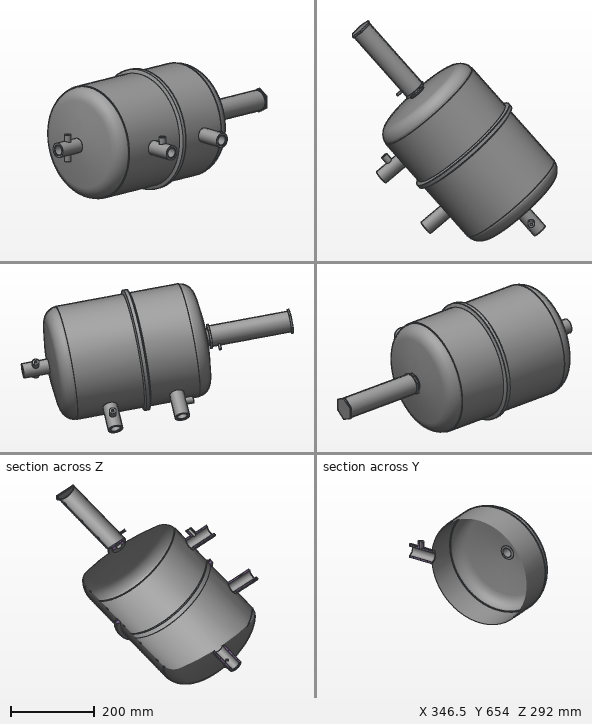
import cadquery as cq
import math


shell_radius = 137.0
wall = 2.0
front_shell_y = 105.0
joint_y = 279.0
rear_shell_y = 403.5

head_radius = 136.0
lip = 5.0
crown_radius = 108.0
knuckle_height = 27.0
knuckle_radius = 34.5
crown_rise = 10.5

flange_radius = 292.0 / 2
flange_front_y = 267.5
flange_rear_y = 284.0
flank_width = 3.0

pipe_radius = 17.5
pipe_bore_radius = 12.0
pipe_mouth_chamfer = 1.0
overall_width = 346.5
side_pipe_end_x = overall_width - flange_radius
front_pipe_y = 184.0
rear_pipe_y = 346.5
stub_radius = 16.5 / 2
stub_bore_radius = 3.0
stub_reach = 33.0
rear_stub_reach = 35.0
outlet_stub_y = 31.5
front_stub_x = 168.0
rear_stub_x = 160.0

neck_boss_radius = 20.0
neck_boss_y = 447.0
neck_bore_radius = 7.0

unit_start_y = 452.5
unit_end_y = 654.0
cap_sides = 6
cap_thickness = 4.5
tube_radius = 50.5 / 2
tube_wall = wall
port_y = 473.0
port_radius = 2.95
port_end_x = 40.0


def cylinder(start, direction, length, radius):
    return cq.Workplane(cq.Solid.makeCylinder(radius, length, cq.Vector(*start), cq.Vector(*direction)))


def pipe_along_y(start_y, end_y, radius):
    return cylinder((0, start_y, 0), (0, 1, 0), end_y - start_y, radius)


def vessel_solid(shell_y, inset):
    """Solid from the joint to a domed head; an inset equal to the wall gives the cavity."""
    outward = math.copysign(1, shell_y - joint_y)
    lip_y = shell_y + outward * lip
    crown_y = lip_y + outward * (knuckle_height - inset)
    apex_y = crown_y + outward * crown_rise
    sphere_radius = (crown_radius**2 + crown_rise**2) / (2 * crown_rise)
    middle_radius = crown_radius / 2
    middle_drop = sphere_radius - math.sqrt(sphere_radius**2 - middle_radius**2)
    return (
        cq.Workplane("YZ")
        .moveTo(joint_y, 0)
        .lineTo(joint_y, shell_radius - inset)
        .lineTo(shell_y, shell_radius - inset)
        .lineTo(shell_y, head_radius - inset)
        .lineTo(lip_y, head_radius - inset)
        .radiusArc((crown_y, crown_radius), outward * (knuckle_radius - inset))
        .threePointArc((apex_y - outward * middle_drop, middle_radius), (apex_y, 0))
        .close()
        .revolve(360, (0, 0, 0), (1, 0, 0))
    )


def flange(base_y, rim_y):
    """Half of the clamping flange, from the joint to the foot of its conical flank."""
    profile = [
        (joint_y, 0),
        (joint_y, flange_radius),
        (rim_y, flange_radius),
        (base_y, shell_radius),
        (base_y, 0),
    ]
    return (
        cq.Workplane("YZ")
        .polyline(profile)
        .close()
        .revolve(360, (0, 0, 0), (1, 0, 0))
    )


def side_pipe(y):
    return cylinder((0, y, 0), (1, 0, 0), side_pipe_end_x, pipe_radius)


def pipe_bore(mouth, inward, length):
    """Cutter for a pipe bore with a chamfered mouth."""
    bore = cylinder(mouth, inward, length, pipe_bore_radius)
    chamfer = cq.Solid.makeCone(
        pipe_bore_radius + pipe_mouth_chamfer,
        pipe_bore_radius,
        pipe_mouth_chamfer,
        cq.Vector(*mouth),
        cq.Vector(*inward),
    )
    return bore.union(cq.Workplane(chamfer))


def side_pipe_bore(y):
    return pipe_bore((side_pipe_end_x, y, 0), (-1, 0, 0), side_pipe_end_x)


def make_front_vessel():
    outside = (
        vessel_solid(front_shell_y, 0)
        .union(flange(flange_front_y, flange_front_y + flank_width))
        .union(pipe_along_y(0, front_shell_y, pipe_radius))
        .union(side_pipe(front_pipe_y))
        .union(cylinder((0, outlet_stub_y, -stub_reach), (0, 0, 1), 2 * stub_reach, stub_radius))
        .union(cylinder((front_stub_x, front_pipe_y, 0), (0, 0, 1), stub_reach, stub_radius))
    )
    return (
        outside.cut(vessel_solid(front_shell_y, wall))
        .cut(pipe_bore((0, 0, 0), (0, 1, 0), front_shell_y))
        .cut(side_pipe_bore(front_pipe_y))
        .cut(cylinder((0, outlet_stub_y, -stub_reach), (0, 0, 1), 2 * stub_reach, stub_bore_radius))
        .cut(cylinder((front_stub_x, front_pipe_y, 0), (0, 0, 1), stub_reach, stub_bore_radius))
    )


def make_rear_vessel():
    outside = (
        vessel_solid(rear_shell_y, 0)
        .union(flange(flange_rear_y, flange_rear_y - flank_width))
        .union(side_pipe(rear_pipe_y))
        .union(cylinder((rear_stub_x, rear_pipe_y, 0), (0, 1, 0), rear_stub_reach, stub_radius))
        .cut(vessel_solid(rear_shell_y, wall))
    )
    head_y = rear_shell_y + lip + knuckle_height + crown_rise - wall
    return (
        outside.cut(side_pipe_bore(rear_pipe_y))
        .cut(cylinder((rear_stub_x, rear_pipe_y, 0), (0, 1, 0), rear_stub_reach, stub_bore_radius))
        .union(pipe_along_y(head_y, neck_boss_y, neck_boss_radius))
        .union(pipe_along_y(head_y, unit_start_y, pipe_radius))
        .cut(pipe_along_y(head_y - wall, unit_start_y, neck_bore_radius))
    )


def make_cap(start_y):
    """Hexagonal plate with flats facing +X and -X, as far apart as the tube is wide."""
    corner_angle = 90
    corner_diameter = 2 * tube_radius / math.cos(math.pi / cap_sides)
    return (
        cq.Workplane("XZ", origin=(0, start_y, 0))
        .transformed(rotate=(0, 0, corner_angle))
        .polygon(cap_sides, corner_diameter)
        .extrude(-cap_thickness)
    )


def make_tube():
    start_y = unit_start_y + cap_thickness
    end_y = unit_end_y - cap_thickness
    port = cylinder((0, port_y, 0), (1, 0, 0), port_end_x, port_radius)
    return (
        pipe_along_y(start_y, end_y, tube_radius)
        .union(port)
        .cut(pipe_along_y(start_y, end_y, tube_radius - tube_wall))
    )


front_vessel = make_front_vessel()
rear_vessel = make_rear_vessel()
tube = make_tube()
caps = [make_cap(y).val() for y in (unit_start_y, unit_end_y - cap_thickness)]

result = cq.Compound.makeCompound([front_vessel.val(), rear_vessel.val(), tube.val(), *caps])